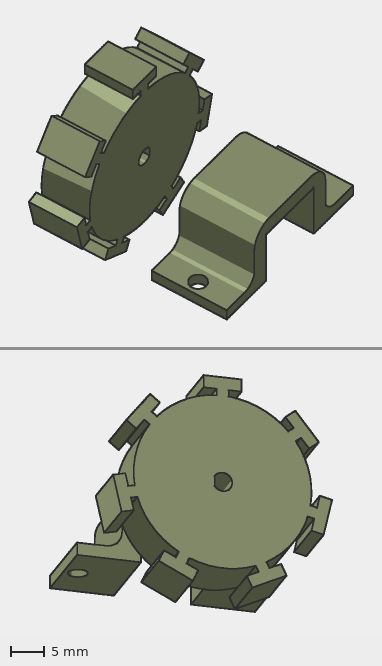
import cadquery as cq

total_length = 36.1

wheel_width = 9.0
disc_radius = 14.0
tooth_count = 7
tooth_tip_radius = 17.0
head_width = 6.0
head_thickness = 2.0
stem_width = 1.88

bore_diameter = 3.0
bore_flat_distance = 1.25

bracket_width = 14.0
bracket_height = 13.0
bracket_base_z = -5.2
bracket_half_span = 16.15
wall_outer_y = 9.05
wall_thickness = 3.0
foot_thickness = 2.02
shoulder_radius = 3.85
foot_fillet_radius = 2.5

mount_hole_diameter = 3.0
mount_hole_y = 13.85


def x_box(length, y_size, z_low, z_high):
    """Box starting at X = 0, centred on Y, between two heights."""
    return (
        cq.Workplane("XY")
        .box(length, y_size, z_high - z_low, centered=(False, True, False))
        .translate((0, 0, z_low))
    )


def make_tooth():
    """One T-shaped tooth pointing up, with its stem rooted inside the disc."""
    head_inner_radius = tooth_tip_radius - head_thickness
    stem_root_radius = disc_radius - stem_width
    head = x_box(wheel_width, head_width, head_inner_radius, tooth_tip_radius)
    stem = x_box(wheel_width, stem_width, stem_root_radius, head_inner_radius)
    return head.union(stem)


def make_bore():
    """D-shaped cutter: a cylinder limited on the +Y side by a flat."""
    bore_radius = bore_diameter / 2
    cylinder = cq.Workplane("YZ").circle(bore_radius).extrude(wheel_width)
    beyond_flat = (
        cq.Workplane("XY")
        .box(wheel_width, bore_diameter, bore_diameter, centered=(False, False, True))
        .translate((0, bore_flat_distance, 0))
    )
    return cylinder.cut(beyond_flat)


def make_wheel():
    wheel = cq.Workplane("YZ").circle(disc_radius).extrude(wheel_width)
    tooth = make_tooth()
    for index in range(tooth_count):
        angle = index * 360 / tooth_count
        wheel = wheel.union(tooth.rotate((0, 0, 0), (1, 0, 0), angle))
    return wheel.cut(make_bore())


def make_bracket():
    top_z = bracket_base_z + bracket_height
    foot_top_z = bracket_base_z + foot_thickness
    channel_half_width = wall_outer_y - wall_thickness
    channel_top_z = top_z - wall_thickness

    feet = x_box(bracket_width, 2 * bracket_half_span, bracket_base_z, foot_top_z)
    hump = x_box(bracket_width, 2 * wall_outer_y, bracket_base_z, top_z)
    hump = hump.edges("|X and >Z").fillet(shoulder_radius)
    bracket = feet.union(hump)

    for side in (-1, 1):
        corner = cq.NearestToPointSelector((bracket_width / 2, side * wall_outer_y, foot_top_z))
        bracket = bracket.edges("|X").edges(corner).fillet(foot_fillet_radius)

    channel = x_box(bracket_width, 2 * channel_half_width, bracket_base_z, channel_top_z)
    bracket = bracket.cut(channel)

    mount_holes = (
        cq.Workplane("XY", origin=(bracket_width / 2, 0, bracket_base_z))
        .pushPoints([(0, -mount_hole_y), (0, mount_hole_y)])
        .circle(mount_hole_diameter / 2)
        .extrude(foot_thickness)
    )
    bracket = bracket.cut(mount_holes)
    return bracket.translate((total_length - bracket_width, 0, 0))


wheel = make_wheel()
bracket = make_bracket()

result = cq.Compound.makeCompound([wheel.val(), bracket.val()])